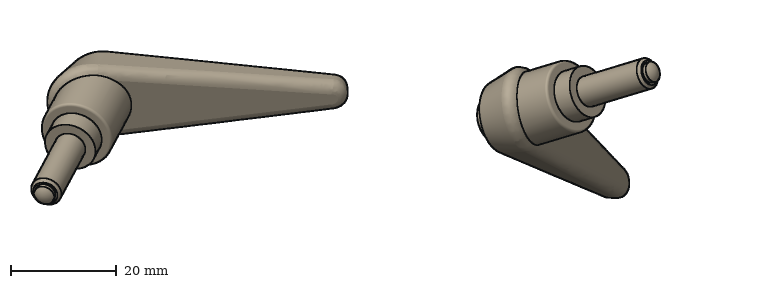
import cadquery as cq
import math


HUB_RADIUS = 7.0
BUTTON_RADIUS = 4.5
BUTTON_TOP_Y = 20.6
RIM_FILLET = 0.5
CORE_JOINT_Y = 13.0

LEVER_TOP_Y = 19.7
LEVER_TOP_ANGLE = 15.0
LEVER_BOTTOM_Y = 10.0
LEVER_BOTTOM_ANGLE = 20.0
TOP_FILLET = 1.5
BOTTOM_FILLET = 2.0

SIDE_DRAFT = math.tan(math.radians(11.3))
HEAD_RADIUS = 10.58
HEAD_X = -0.38
HEAD_LEAN = 0.028
TIP_RADIUS = 8.6
TIP_X = 46.62
TIP_LEAN = -0.163
BLANK_BOTTOM_Y = 4.0
BLANK_TOP_Y = 34.0

COLLAR_RADIUS = 5.0
COLLAR_LENGTH = 4.0
STUD_RADIUS = 3.0
STUD_END_Y = -20.0
STUD_CHAMFER = 0.6
NOSE_RADIUS = 2.0
NOSE_LENGTH = 0.8
DOME_HEIGHT = 0.85


def section(y):
    """XZ work plane at height y, with its normal along +Y and local axes (X, -Z)."""
    return cq.Plane(origin=(0, y, 0), xDir=(1, 0, 0), normal=(0, 1, 0))


def lever_outline(y):
    """Closed outline of the tapered lever at height y: two arcs joined by their tangents."""
    head_x = HEAD_X + HEAD_LEAN * y
    head_r = HEAD_RADIUS - SIDE_DRAFT * y
    tip_x = TIP_X + TIP_LEAN * y
    tip_r = TIP_RADIUS - SIDE_DRAFT * y
    sin_a = (head_r - tip_r) / (tip_x - head_x)
    cos_a = math.sqrt(1 - sin_a ** 2)
    return (
        cq.Workplane(section(y))
        .moveTo(head_x + head_r * sin_a, head_r * cos_a)
        .lineTo(tip_x + tip_r * sin_a, tip_r * cos_a)
        .threePointArc((tip_x + tip_r, 0), (tip_x + tip_r * sin_a, -tip_r * cos_a))
        .lineTo(head_x + head_r * sin_a, -head_r * cos_a)
        .threePointArc((head_x - head_r, 0), (head_x + head_r * sin_a, head_r * cos_a))
        .close()
        .wire()
        .val()
    )


def lever_envelope():
    """Prism along Z that leaves only the space between the two sloping faces."""
    x_min = -20.0
    x_max = 60.0
    half_depth = 20.0
    top_slope = math.tan(math.radians(LEVER_TOP_ANGLE))
    bottom_slope = math.tan(math.radians(LEVER_BOTTOM_ANGLE))
    return (
        cq.Workplane("XY")
        .polyline([
            (x_min, LEVER_BOTTOM_Y + bottom_slope * x_min),
            (x_max, LEVER_BOTTOM_Y + bottom_slope * x_max),
            (x_max, LEVER_TOP_Y + top_slope * x_max),
            (x_min, LEVER_TOP_Y + top_slope * x_min),
        ])
        .close()
        .extrude(half_depth, both=True)
    )


def make_lever():
    outlines = [lever_outline(BLANK_BOTTOM_Y), lever_outline(BLANK_TOP_Y)]
    blank = cq.Workplane(cq.Solid.makeLoft(outlines, True))
    lever = blank.intersect(lever_envelope())
    for angle_deg, side, radius in (
        (LEVER_TOP_ANGLE, 1, TOP_FILLET),
        (LEVER_BOTTOM_ANGLE, -1, BOTTOM_FILLET),
    ):
        angle = math.radians(angle_deg)
        face_normal = cq.Vector(-side * math.sin(angle), side * math.cos(angle), 0)
        lever = lever.faces(cq.DirectionSelector(face_normal)).edges().fillet(radius)
    return lever


def make_handle():
    hub = cq.Workplane(section(0)).circle(HUB_RADIUS).extrude(CORE_JOINT_Y)
    hub = hub.faces("<Y").edges().fillet(RIM_FILLET)
    button = (
        cq.Workplane(section(CORE_JOINT_Y))
        .circle(BUTTON_RADIUS)
        .extrude(BUTTON_TOP_Y - CORE_JOINT_Y)
        .faces(">Y").edges().fillet(RIM_FILLET)
    )
    return make_lever().union(hub).union(button)


def make_stud():
    """Collar, shank and domed nose turned about the Y axis."""
    nose_end_y = STUD_END_Y - NOSE_LENGTH
    dome_radius = (NOSE_RADIUS ** 2 + DOME_HEIGHT ** 2) / (2 * DOME_HEIGHT)
    dome_mid_x = NOSE_RADIUS / 2
    dome_centre_y = nose_end_y - DOME_HEIGHT + dome_radius
    dome_mid_y = dome_centre_y - math.sqrt(dome_radius ** 2 - dome_mid_x ** 2)
    return (
        cq.Workplane("XY")
        .lineTo(COLLAR_RADIUS, 0)
        .lineTo(COLLAR_RADIUS, -COLLAR_LENGTH)
        .lineTo(STUD_RADIUS, -COLLAR_LENGTH)
        .lineTo(STUD_RADIUS, STUD_END_Y + STUD_CHAMFER)
        .lineTo(STUD_RADIUS - STUD_CHAMFER, STUD_END_Y)
        .lineTo(NOSE_RADIUS, STUD_END_Y)
        .lineTo(NOSE_RADIUS, nose_end_y)
        .threePointArc((dome_mid_x, dome_mid_y), (0, nose_end_y - DOME_HEIGHT))
        .close()
        .revolve(360, (0, 0), (0, 1))
    )


handle = make_handle()
stud = make_stud()
result = cq.Compound.makeCompound([handle.val(), stud.val()])